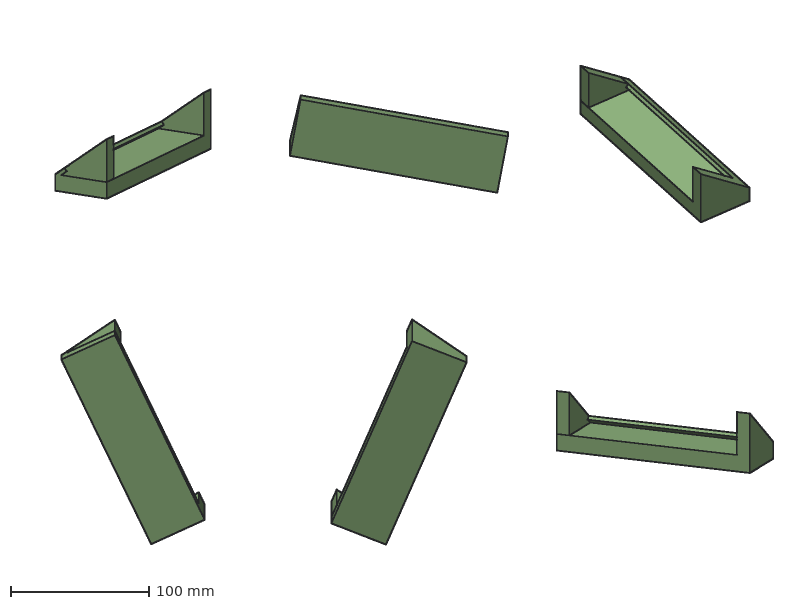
import cadquery as cq
import math

depth = 42.8
length = 152.4
height = 44.8
base_height = 12.5
wall_thickness = 10.2
lip_thickness = 3.0
lip_reach = 7.8

slope = math.atan2(height - base_height, depth)
lip_top = (lip_reach, base_height + lip_reach * math.tan(slope))
lip_corner = (
    lip_top[0] + lip_thickness * math.sin(slope),
    lip_top[1] - lip_thickness * math.cos(slope),
)
lip_root = (lip_thickness / math.sin(slope), base_height)
slope_foot = (0, base_height)
floor_back = (depth, base_height)
wall_peak = (depth, height)


def extrude_profile(points, start_y, thickness):
    """Extrude an XZ outline along +Y from start_y."""
    plane = cq.Workplane("XZ", origin=(0, start_y, 0))
    return plane.polyline(points).close().extrude(-thickness)


def make_tray():
    """Base with an overhanging front lip and a fixed wall at the +Y end."""
    base_outline = [(0, 0), (depth, 0), floor_back, lip_root, lip_corner, lip_top, slope_foot]
    base = extrude_profile(base_outline, 0, length)
    wall_outline = [slope_foot, floor_back, wall_peak]
    fixed_wall = extrude_profile(wall_outline, length - wall_thickness, wall_thickness)
    return base.union(fixed_wall)


def make_end_wall():
    """Separate wall at the -Y end, its toe tucked under the lip."""
    outline = [lip_root, floor_back, wall_peak, lip_top, lip_corner]
    return extrude_profile(outline, 0, wall_thickness)


tray = make_tray()
end_wall = make_end_wall()

result = cq.Compound.makeCompound([tray.val(), end_wall.val()])